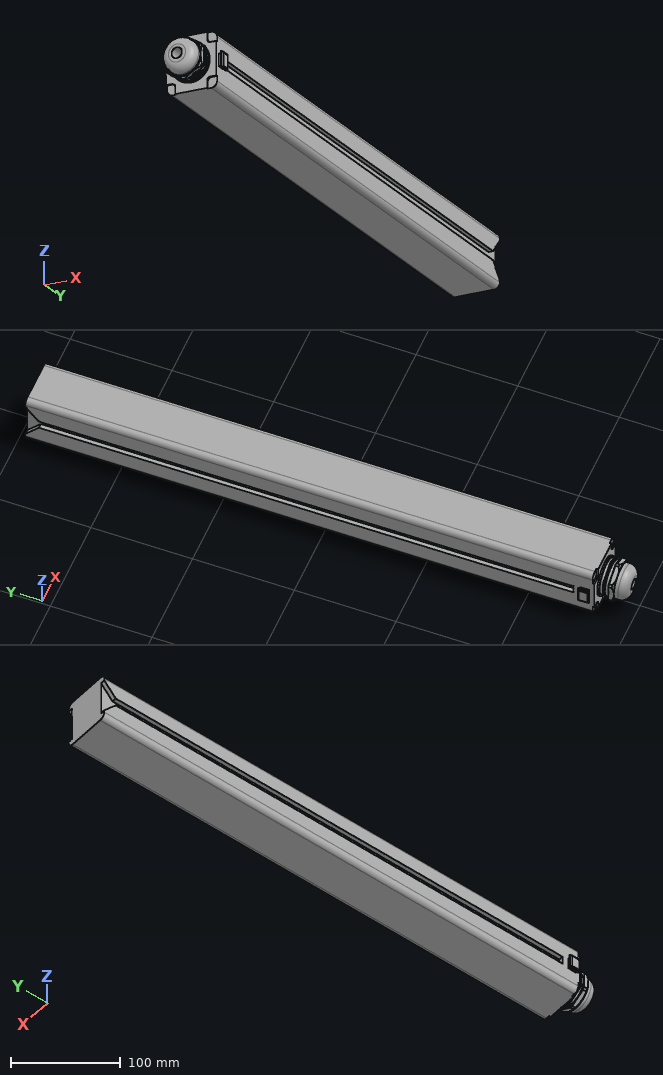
import cadquery as cq
import math

total_length = 588.0
total_width = 62.0
body_width = 52.0
body_height = 55.0
body_corner_radius = 6.0
front_tip_y = -total_length / 2
back_y = total_length / 2

gland_length = 28.0
body_front_y = front_tip_y + gland_length
gland_radius = 17.5
collar_radius = 19.5
collar_length = 2.0
hex_flats = 37.0
hex_corner_radius = 20.5
thin_hex_start = 5.0
thin_hex_length = 2.0
nut_start = 10.5
nut_length = 5.0
nut_chamfer = 2.0
dome_round = 9.0
cable_hole_radius = 5.0
cable_hole_depth = 17.5

corner_recess_width = 9.5
corner_recess_height = 10.5
corner_recess_depth = 2.0
corner_recess_round = 3.5

groove_depth = 4.5
groove_width = 9.0
groove_front_y = -245.0
flare_width = 39.0
flare_length = 13.5

button_y = -256.0
button_length = 10.5
button_height = 16.0
button_head = 2.5
button_chamfer = 1.0
neck_length = 9.0
neck_height = 12.5
neck_embed = 2.0


def gland_plane(distance):
    """Plane facing -Y at a distance in front of the housing end."""
    origin = (0, body_front_y - distance, 0)
    return cq.Workplane(cq.Plane(origin=origin, xDir=(1, 0, 0), normal=(0, -1, 0)))


def make_body():
    length = back_y - body_front_y
    body = gland_plane(-length).rect(body_width, body_height).extrude(length)
    return body.edges("|Y").fillet(body_corner_radius)


def make_corner_recesses():
    recesses = (
        gland_plane(-corner_recess_depth)
        .rect(body_width, body_height, forConstruction=True)
        .vertices()
        .rect(2 * corner_recess_width, 2 * corner_recess_height)
        .extrude(corner_recess_depth)
    )
    return recesses.edges("|Y").fillet(corner_recess_round)


def make_hex(start, length, chamfer=None):
    """Hexagon with points up and down, trimmed by a cylinder bevelled at the front if asked."""
    across_corners = hex_flats / math.cos(math.pi / 6)
    prism = gland_plane(start).polygon(6, across_corners).extrude(length)
    prism = prism.rotate((0, 0, 0), (0, 1, 0), 30)
    trim = gland_plane(start).circle(hex_corner_radius).extrude(length)
    if chamfer:
        trim = trim.faces("<Y").edges().chamfer(chamfer)
    return prism.intersect(trim)


def make_groove():
    """Groove in the -X side."""
    half_groove = groove_width / 2
    half_flare = flare_width / 2
    flare_front_y = back_y - flare_length
    return (
        cq.Workplane("YZ", origin=(-body_width / 2, 0, 0))
        .moveTo(groove_front_y, -half_groove)
        .lineTo(flare_front_y, -half_groove)
        .lineTo(back_y, -half_flare)
        .lineTo(back_y, half_flare)
        .lineTo(flare_front_y, half_groove)
        .lineTo(groove_front_y, half_groove)
        .close()
        .extrude(groove_depth)
    )


def make_button():
    """Bevelled head on a narrower neck, standing out from the -X side."""
    head_inner_x = -total_width / 2 + button_head
    neck_inner_x = -body_width / 2 + neck_embed
    head = (
        cq.Workplane("YZ", origin=(head_inner_x, button_y, 0))
        .rect(button_length, button_height)
        .extrude(-button_head)
        .faces("<X")
        .chamfer(button_chamfer)
    )
    neck = (
        cq.Workplane("YZ", origin=(neck_inner_x, button_y, 0))
        .rect(neck_length, neck_height)
        .extrude(head_inner_x - neck_inner_x)
    )
    return head.union(neck)


def make_gland():
    barrel = gland_plane(0).circle(gland_radius).extrude(gland_length)
    barrel = barrel.faces("<Y").edges().fillet(dome_round)
    collar = gland_plane(0).circle(collar_radius).extrude(collar_length)
    thin_hex = make_hex(thin_hex_start, thin_hex_length)
    nut = make_hex(nut_start, nut_length, nut_chamfer)
    hole_start = gland_length - cable_hole_depth
    hole = gland_plane(hole_start).circle(cable_hole_radius).extrude(cable_hole_depth)
    return barrel.union(collar).union(thin_hex).union(nut).cut(hole)


result = make_body().cut(make_corner_recesses()).union(make_gland())
groove = make_groove()
button = make_button()
result = result.cut(groove).cut(groove.mirror("YZ"))
result = result.union(button).union(button.mirror("YZ"))